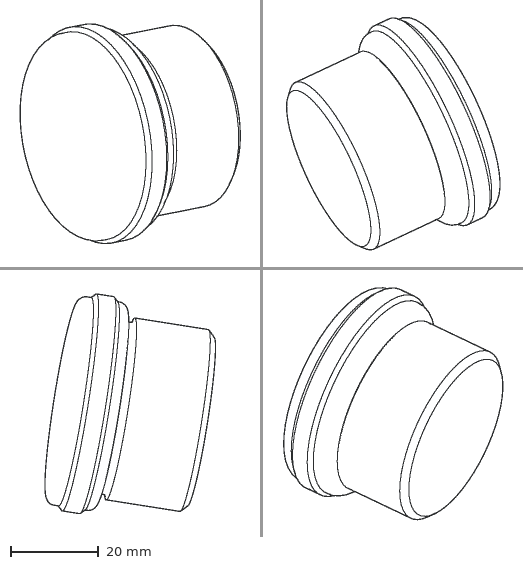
import cadquery as cq

total_length = 32.0
shank_radius = 41.9 / 2
shank_chamfer = 1.5

head_radius = 48.0 / 2
head_length = 11.5
head_fillet = 2.0

band_radius = 50.0 / 2
band_chamfer = band_radius - head_radius
band_start = 3.0
band_end = 9.0

groove_radius = 1.0
groove_floor_radius = 19.8
groove_center_radius = groove_floor_radius + groove_radius
groove_center_y = head_length + groove_radius
groove_end = head_length + 2 * groove_radius


def make_head():
    """Disc with both rims rounded."""
    disc = cq.Workplane("XZ").circle(head_radius).extrude(-head_length)
    return disc.edges().fillet(head_fillet)


def make_band():
    """Raised ring around the head, chamfered back to the head surface."""
    disc = cq.Workplane("XZ", origin=(0, band_start, 0)).circle(band_radius)
    return disc.extrude(band_start - band_end).edges().chamfer(band_chamfer)


def make_shank():
    """Half profile of the grooved neck and shank, revolved about Y."""
    profile = (
        cq.Workplane("XY")
        .moveTo(0, head_fillet)
        .lineTo(groove_center_radius, head_fillet)
        .lineTo(groove_center_radius, head_length)
        .threePointArc((groove_floor_radius, groove_center_y), (groove_center_radius, groove_end))
        .lineTo(shank_radius, groove_end)
        .lineTo(shank_radius, total_length - shank_chamfer)
        .lineTo(shank_radius - shank_chamfer, total_length)
        .lineTo(0, total_length)
        .close()
    )
    return profile.revolve(360, (0, 0, 0), (0, 1, 0))


result = make_head().union(make_band()).union(make_shank())